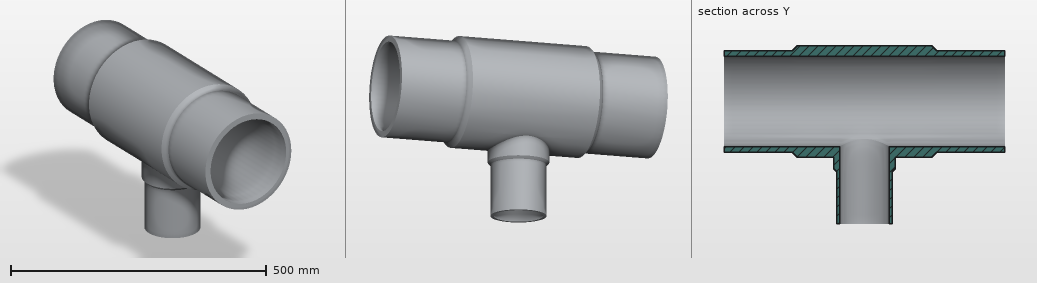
import cadquery as cq

pipe_length = 550.0
pipe_diameter = 200.0
bore_diameter = 176.0

sleeve_length = 282.5
sleeve_diameter = 220.0
sleeve_chamfer = (sleeve_diameter - pipe_diameter) / 2

branch_reach = 240.0
branch_diameter = 110.0
branch_bore_diameter = 97.0

collar_reach = 137.5
collar_diameter = 121.0
collar_chamfer = (collar_diameter - branch_diameter) / 2


def main_cylinder(diameter, length):
    """Cylinder along X, centred on the origin."""
    return cq.Workplane("YZ", origin=(-length / 2, 0, 0)).circle(diameter / 2).extrude(length)


def branch_cylinder(diameter, reach):
    """Cylinder from the pipe axis down to the given reach."""
    return cq.Workplane("XY").circle(diameter / 2).extrude(-reach)


pipe = main_cylinder(pipe_diameter, pipe_length)
sleeve = main_cylinder(sleeve_diameter, sleeve_length).faces("<X or >X").chamfer(sleeve_chamfer)

branch = branch_cylinder(branch_diameter, branch_reach)
collar = branch_cylinder(collar_diameter, collar_reach).faces("<Z").chamfer(collar_chamfer)

main_bore = main_cylinder(bore_diameter, pipe_length)
branch_bore = branch_cylinder(branch_bore_diameter, branch_reach)

result = pipe.union(sleeve).union(collar).union(branch).cut(main_bore).cut(branch_bore)